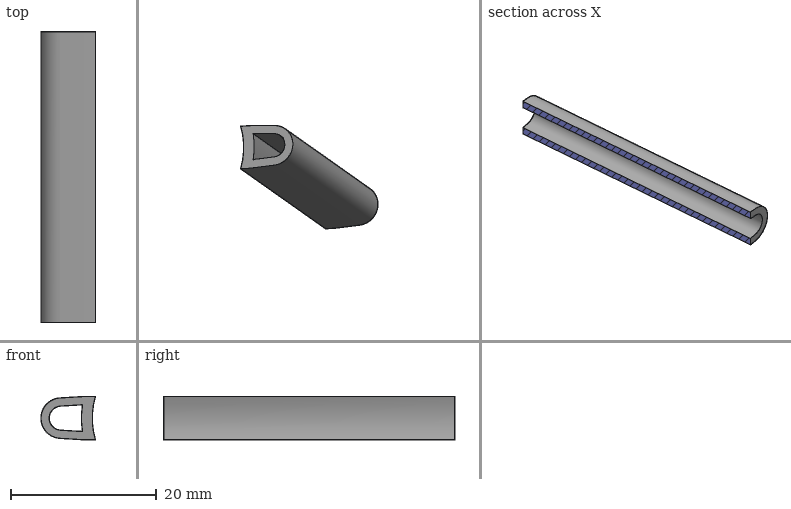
import cadquery as cq
import math

length = 40.0
width = 7.5
height = 6.0

nose_radius = 2.8
side_wall = 1.15
flat_start = 6.05
seat_radius = 10.4
seat_wall = 1.5

half_height = height / 2
cavity_radius = nose_radius - side_wall

flank_run = flat_start - nose_radius
flank_distance = math.hypot(flank_run, half_height)
flank_angle = math.atan2(half_height, flank_run) - math.asin(nose_radius / flank_distance)

seat_center = width + math.sqrt(seat_radius**2 - half_height**2)
seat_middle = seat_center - seat_radius
back_radius = seat_radius + seat_wall
back_middle = seat_center - back_radius


def tangent_point(radius):
    """Upper end of an arc about the nose center, where its flank begins."""
    x = nose_radius - radius * math.sin(flank_angle)
    z = radius * math.cos(flank_angle)
    return x, z


def cavity_corner():
    """Upper crossing of the cavity flank with the cavity's back arc."""
    center_run = seat_center - nose_radius
    along = center_run * math.cos(flank_angle)
    across = center_run * math.sin(flank_angle) + cavity_radius
    run = along - math.sqrt(back_radius**2 - across**2)
    start_x, start_z = tangent_point(cavity_radius)
    return start_x + run * math.cos(flank_angle), start_z + run * math.sin(flank_angle)


def outer_body():
    x, z = tangent_point(nose_radius)
    return (
        cq.Workplane("XZ")
        .moveTo(x, -z)
        .threePointArc((0, 0), (x, z))
        .lineTo(flat_start, half_height)
        .lineTo(width, half_height)
        .threePointArc((seat_middle, 0), (width, -half_height))
        .lineTo(flat_start, -half_height)
        .close()
        .extrude(length)
    )


def cavity():
    x, z = tangent_point(cavity_radius)
    corner_x, corner_z = cavity_corner()
    return (
        cq.Workplane("XZ")
        .moveTo(x, -z)
        .threePointArc((side_wall, 0), (x, z))
        .lineTo(corner_x, corner_z)
        .threePointArc((back_middle, 0), (corner_x, -corner_z))
        .close()
        .extrude(length)
    )


result = outer_body().cut(cavity())